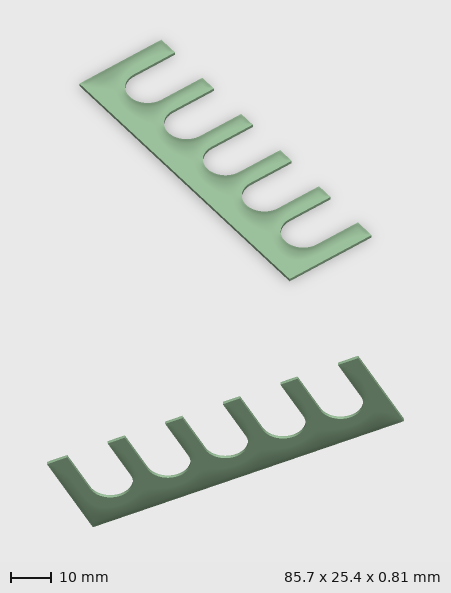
import cadquery as cq

length = 85.7
depth = 25.4
thickness = 0.81

slot_count = 5
slot_pitch = 15.9
slot_width = 11.15
web_below_slots = 7.1

slot_radius = slot_width / 2
arc_center_y = web_below_slots + slot_radius


def make_plate():
    """Flat plate with its -Y edge on the X axis."""
    return cq.Workplane("XY").box(length, depth, thickness, centered=(True, False, False))


def make_slot(center_x):
    """Cutter for one U-shaped slot running out through the +Y edge."""
    left = center_x - slot_radius
    right = center_x + slot_radius
    return (
        cq.Workplane("XY")
        .moveTo(left, depth)
        .lineTo(left, arc_center_y)
        .threePointArc((center_x, web_below_slots), (right, arc_center_y))
        .lineTo(right, depth)
        .close()
        .extrude(thickness)
    )


result = make_plate()
for index in range(slot_count):
    offset_from_middle = index - (slot_count - 1) / 2
    result = result.cut(make_slot(offset_from_middle * slot_pitch))